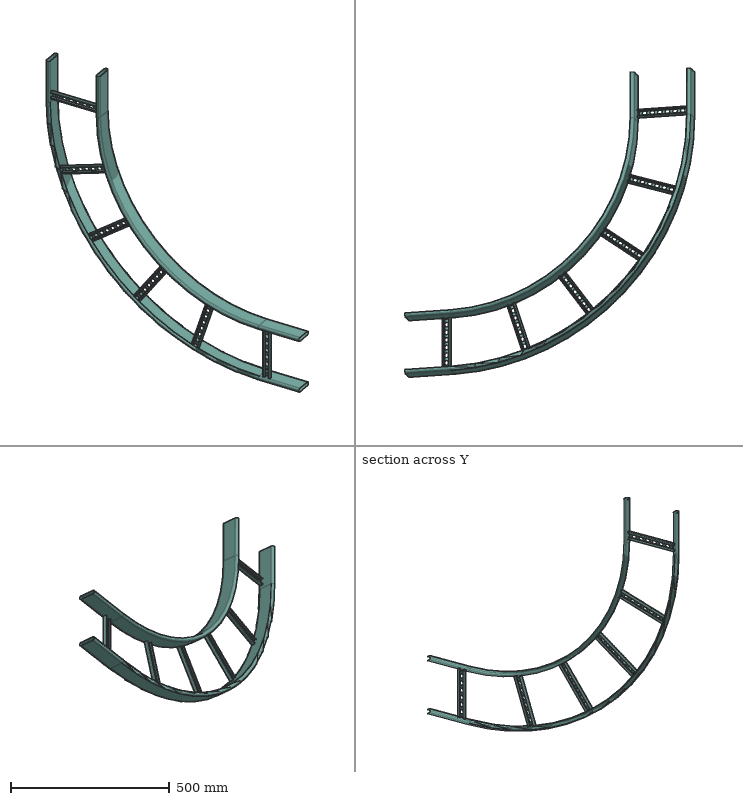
import cadquery as cq
import math

outer_radius = 785.0
ladder_width = 200.0
straight_length = 150.0
bend_angle = 90.0

rail_height = 60.0
rail_width = 15.0
rail_wall = 1.5

bend_rung_count = 4
end_rung_offset = 25.0
rung_back = -10.0
rung_depth = 13.0
rung_width = 30.0
rung_back_width = 26.0
rung_mouth_width = 18.0
rung_wall = 1.5
rung_corner_radius = 3.0

groove_top_width = 15.0
groove_floor_width = 11.0
groove_depth = 6.0

slot_count = 8
slot_pitch = 25.0
slot_length = 15.0
slot_width = 10.5

inner_radius = outer_radius - ladder_width
outer_rail_radius = outer_radius - rail_width / 2
inner_rail_radius = inner_radius + rail_width / 2
rung_outer_end = outer_radius - rail_width
rung_inner_end = inner_radius + rail_width
rung_length = rung_outer_end - rung_inner_end
rung_mid_radius = (rung_outer_end + rung_inner_end) / 2
rung_front = rung_back - rung_depth
groove_floor = rung_front + groove_depth
bend_rung_step = bend_angle / (bend_rung_count + 1)

bend_centre = (0, 0, 0)
bend_axis_end = (0, 1, 0)


def make_rail(radius):
    """Hollow tube along a straight, the bend and a second straight; radius is to the tube centre."""
    bend_middle = -radius * math.sqrt(0.5)
    path = (
        cq.Workplane("XZ")
        .moveTo(-radius, straight_length)
        .lineTo(-radius, 0)
        .threePointArc((bend_middle, bend_middle), (0, -radius))
        .lineTo(straight_length, -radius)
    )
    bore_height = rail_height - 2 * rail_wall
    bore_width = rail_width - 2 * rail_wall
    return (
        cq.Workplane("XY", origin=(-radius, 0, straight_length))
        .slot2D(rail_height, rail_width, 90)
        .slot2D(bore_height, bore_width, 90)
        .sweep(path)
    )


def make_rung_stock():
    """Folded channel along X, centred between the rails and longer than the gap between them."""
    half_outline = [
        (rung_back, rung_back_width / 2),
        (rung_front, rung_width / 2),
        (rung_front, groove_top_width / 2),
        (groove_floor, groove_floor_width / 2),
    ]
    mirrored_half = [(y, -z) for y, z in reversed(half_outline)]
    body = (
        cq.Workplane("YZ")
        .polyline(half_outline + mirrored_half)
        .close()
        .extrude(ladder_width / 2, both=True)
    )

    for z_direction in (">Z", "<Z"):
        body = body.edges("|X").edges(z_direction).fillet(rung_corner_radius)
    for z_direction in (">Z", "<Z"):
        body = body.faces(">Y").edges("|X").edges(z_direction).fillet(rung_corner_radius)
    body = body.faces("<X or >X").shell(-rung_wall)

    mouth = (
        cq.Workplane("XY")
        .box(ladder_width, 2 * rung_wall, rung_mouth_width)
        .translate((0, rung_back, 0))
    )
    slots = (
        cq.Workplane("XZ")
        .rarray(slot_pitch, 1, slot_count, 1)
        .slot2D(slot_length, slot_width)
        .extrude(rail_height / 2, both=True)
    )
    return body.cut(mouth).cut(slots).translate((-rung_mid_radius, 0, 0))


def turn(body, angle):
    """Turn a body round the bend, from the upright run towards the level run."""
    return body.rotate(bend_centre, bend_axis_end, -angle)


def make_rungs():
    """One rung in each straight run, cut square, and the bend rungs, cut to the curved rails."""
    stock = make_rung_stock()
    straight_gap = (
        cq.Workplane("XY")
        .box(rung_length, rail_height, rail_height)
        .translate((-rung_mid_radius, 0, 0))
    )
    curved_gap = (
        cq.Workplane("XZ")
        .circle(rung_outer_end)
        .circle(rung_inner_end)
        .extrude(rail_height / 2, both=True)
    )
    end_rung = stock.intersect(straight_gap)
    bend_rung = stock.intersect(curved_gap)

    rungs = [
        end_rung.translate((0, 0, end_rung_offset)),
        turn(end_rung, bend_angle).translate((end_rung_offset, 0, 0)),
    ]
    for i in range(1, bend_rung_count + 1):
        rungs.append(turn(bend_rung, i * bend_rung_step))
    return rungs


outer_rail = make_rail(outer_rail_radius)
inner_rail = make_rail(inner_rail_radius)
rungs = make_rungs()

result = cq.Compound.makeCompound([
    outer_rail.val(),
    inner_rail.val(),
    *[solid for rung in rungs for solid in rung.vals()],
])